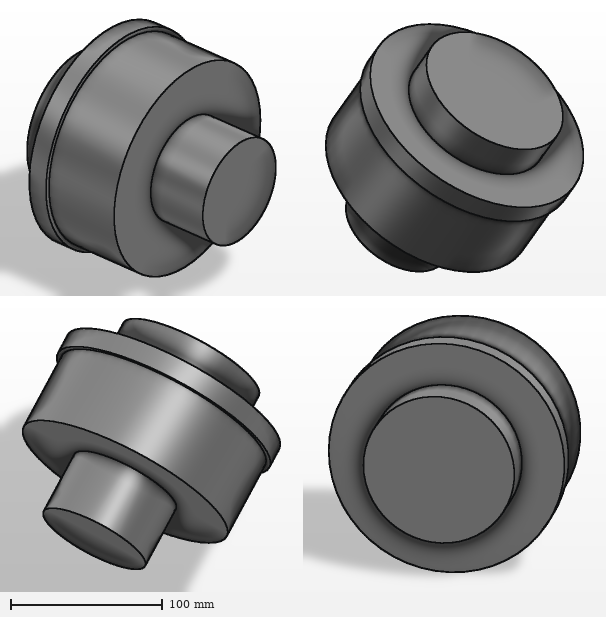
import cadquery as cq

front_boss = (101.6, 25.4)
flange = (158.8, 14.3)
body = (152.4, 55.5)
rear_shaft = (76.2, 44.5)


def add_step(part, diameter, length):
    """Extrude a coaxial cylinder from the +X end face of the part."""
    return part.faces(">X").workplane().circle(diameter / 2).extrude(length)


first_diameter, first_length = front_boss
result = cq.Workplane("YZ").circle(first_diameter / 2).extrude(first_length)
for step_diameter, step_length in (flange, body, rear_shaft):
    result = add_step(result, step_diameter, step_length)